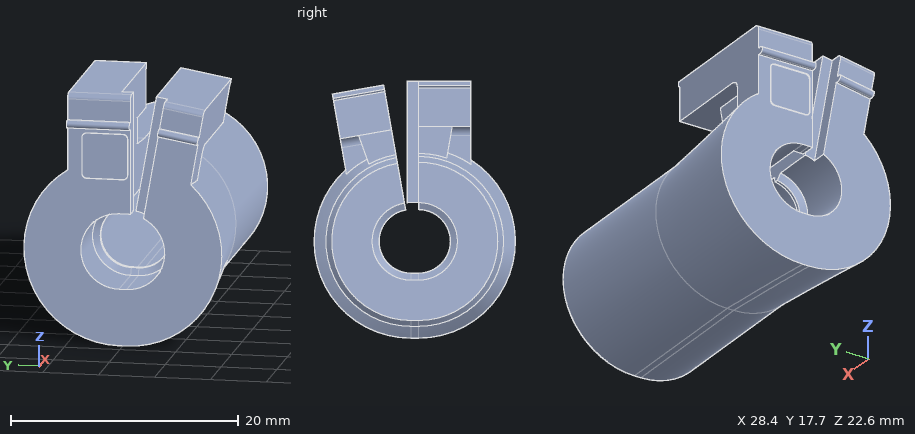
import cadquery as cq
import math

length = 28.4
front_x = 0.6
half_spread = 0.35
sleeve_radius = 7.47
flare_radius = 8.52
flare_mid_radius = 7.95
flare_end_x = 12.85
rear_chamfer = 0.5

bore_radius = 3.4
rib_height = 0.62
rib_start_x = 6.1
rib_slope_length = 0.35
rib_crest_length = 0.35

opening_angle = 10.0
pivot_y = half_spread
pivot_z = 0.28
arm_width = 4.6
arm_top_z = 14.1
arm_root_z = 4.25
arm_rear_x = 13.43
front_rounding = 0.5
lip_overhang = 0.2
lip_height = 0.4
underside_z = 10.08
leg_rear_x = 4.05
underside_fillet = 0.8

web_rear_x = 9.37
web_top_width = 2.95
web_taper_angle = 10.0

tooth_rear_x = 2.07
tooth_depth = 1.02
recess_depth = 1.0

ridge_top_z = 11.7
ridge_height = 0.68

panel_size = 4.1
panel_centre_y = 1.62
panel_centre_z = 8.52
panel_corner_radius = 0.43
panel_depth = 0.1

diagonal = math.sqrt(0.5)


def spread_revolve(profile):
    """Turn an X-radius profile about X as two half rounds joined by a straight middle."""
    half_round = profile.revolve(180, (0, 0, 0), (1, 0, 0)).translate((0, -half_spread, 0))
    upper_slab = profile.toPending().extrude(half_spread, both=True)
    slab = upper_slab.union(upper_slab.mirror("XY"))
    return slab.union(half_round).union(half_round.mirror("XZ"))


def make_sleeve():
    flare_mid_x = (front_x + flare_end_x) / 2
    profile = (
        cq.Workplane("XZ")
        .moveTo(front_x, 0)
        .lineTo(front_x, flare_radius)
        .threePointArc((flare_mid_x, flare_mid_radius), (flare_end_x, sleeve_radius))
        .lineTo(length - rear_chamfer, sleeve_radius)
        .lineTo(length, sleeve_radius - rear_chamfer)
        .lineTo(length, 0)
        .close()
    )
    return spread_revolve(profile)


def make_bore():
    crest_start_x = rib_start_x + rib_slope_length
    crest_end_x = crest_start_x + rib_crest_length
    crest_radius = bore_radius - rib_height
    profile = (
        cq.Workplane("XZ")
        .moveTo(0, 0)
        .lineTo(0, bore_radius)
        .lineTo(rib_start_x, bore_radius)
        .lineTo(crest_start_x, crest_radius)
        .lineTo(crest_end_x, crest_radius)
        .lineTo(crest_end_x + rib_slope_length, bore_radius)
        .lineTo(length, bore_radius)
        .lineTo(length, 0)
        .close()
    )
    return spread_revolve(profile)


def swing(body):
    """Rotate a body open about the pivot line, its top moving toward -Y."""
    return body.rotate((0, pivot_y, pivot_z), (1, pivot_y, pivot_z), opening_angle)


def swing_point(y, z):
    angle = math.radians(opening_angle)
    dy = y - pivot_y
    dz = z - pivot_z
    swung_y = pivot_y + dy * math.cos(angle) - dz * math.sin(angle)
    swung_z = pivot_z + dy * math.sin(angle) + dz * math.cos(angle)
    return swung_y, swung_z


def make_slot():
    """Slot through the sleeve's top wall: one side upright, the other swung open."""
    outline = [
        (half_spread, 0),
        (half_spread, arm_top_z),
        swing_point(-half_spread, arm_top_z),
        swing_point(-half_spread, 0),
    ]
    return cq.Workplane("YZ").polyline(outline).close().extrude(length)


def block(x_range, y_range, z_range):
    sizes = [high - low for low, high in (x_range, y_range, z_range)]
    return (
        cq.Workplane("XY")
        .box(*sizes, centered=False)
        .translate((x_range[0], y_range[0], z_range[0]))
    )


def start_rounded_front(y):
    """Begin a side outline at plane y: up the front face and over its rounded top edge."""
    arc_inset = front_rounding * (1 - diagonal)
    return (
        cq.Workplane("XZ", origin=(0, y, 0))
        .moveTo(front_x, arm_root_z)
        .lineTo(front_x, arm_top_z - front_rounding)
        .threePointArc(
            (front_x + arc_inset, arm_top_z - arc_inset),
            (front_x + front_rounding, arm_top_z),
        )
    )


def make_arm():
    """Upright arm on the +Y side of the slot, with its lip, leg and web."""
    lip_x = arm_rear_x + lip_overhang
    lip_bottom_z = arm_top_z - lip_height
    fillet_inset = underside_fillet * (1 - diagonal)
    arm = (
        start_rounded_front(half_spread)
        .lineTo(lip_x, arm_top_z)
        .lineTo(lip_x, lip_bottom_z)
        .lineTo(arm_rear_x, lip_bottom_z - lip_overhang)
        .lineTo(arm_rear_x, underside_z)
        .lineTo(leg_rear_x + underside_fillet, underside_z)
        .threePointArc(
            (leg_rear_x + fillet_inset, underside_z - fillet_inset),
            (leg_rear_x, underside_z - underside_fillet),
        )
        .lineTo(leg_rear_x, arm_root_z)
        .close()
        .extrude(-arm_width)
    )
    taper = (underside_z - arm_root_z) * math.tan(math.radians(web_taper_angle))
    web_outline = [
        (half_spread, arm_root_z),
        (half_spread, underside_z),
        (half_spread + web_top_width, underside_z),
        (half_spread + web_top_width - taper, arm_root_z),
    ]
    web = (
        cq.Workplane("YZ", origin=(front_x, 0, 0))
        .polyline(web_outline)
        .close()
        .extrude(web_rear_x - front_x)
    )
    return arm.union(web)


def make_tooth():
    """Tooth reaching from the upright arm across the front of the slot, down to the bore."""
    bottom_z = bore_radius / 2
    upper = (
        start_rounded_front(half_spread - tooth_depth)
        .lineTo(tooth_rear_x, arm_top_z)
        .lineTo(tooth_rear_x, arm_root_z)
        .close()
        .extrude(-tooth_depth)
    )
    lower = block(
        (front_x, tooth_rear_x),
        (half_spread - tooth_depth, half_spread),
        (bottom_z, arm_root_z),
    )
    return upper.union(lower)


def make_ridge(y_start, y_end):
    """Ridge on the front face with a half-round nose."""
    nose_radius = ridge_height / 2
    bottom_z = ridge_top_z - ridge_height
    return (
        cq.Workplane("XZ", origin=(0, y_start, 0))
        .moveTo(tooth_rear_x, bottom_z)
        .lineTo(nose_radius, bottom_z)
        .threePointArc((0, bottom_z + nose_radius), (nose_radius, ridge_top_z))
        .lineTo(tooth_rear_x, ridge_top_z)
        .close()
        .extrude(y_start - y_end)
    )


def make_recess():
    """Recess in the swung arm's slot wall, given in the arm's upright position."""
    wall_y = -half_spread
    return block((0, tooth_rear_x), (wall_y - recess_depth, wall_y + recess_depth), (0, length))


def make_panel():
    return (
        cq.Workplane("YZ", origin=(front_x, panel_centre_y, panel_centre_z))
        .rect(panel_size, panel_size)
        .extrude(panel_depth)
        .edges("|X")
        .fillet(panel_corner_radius)
    )


arm_outer_y = half_spread + arm_width
upright_arm = make_arm()
upright_ridge = make_ridge(half_spread - tooth_depth, arm_outer_y)
swung_ridge = make_ridge(-arm_outer_y, -half_spread - recess_depth)

result = make_sleeve().cut(make_slot())
result = result.union(swing(upright_arm.mirror("XZ")))
result = result.cut(swing(make_recess()))
result = result.union(swing(swung_ridge))
result = result.union(upright_arm).union(make_tooth()).union(upright_ridge)
result = result.cut(make_panel()).cut(make_bore())